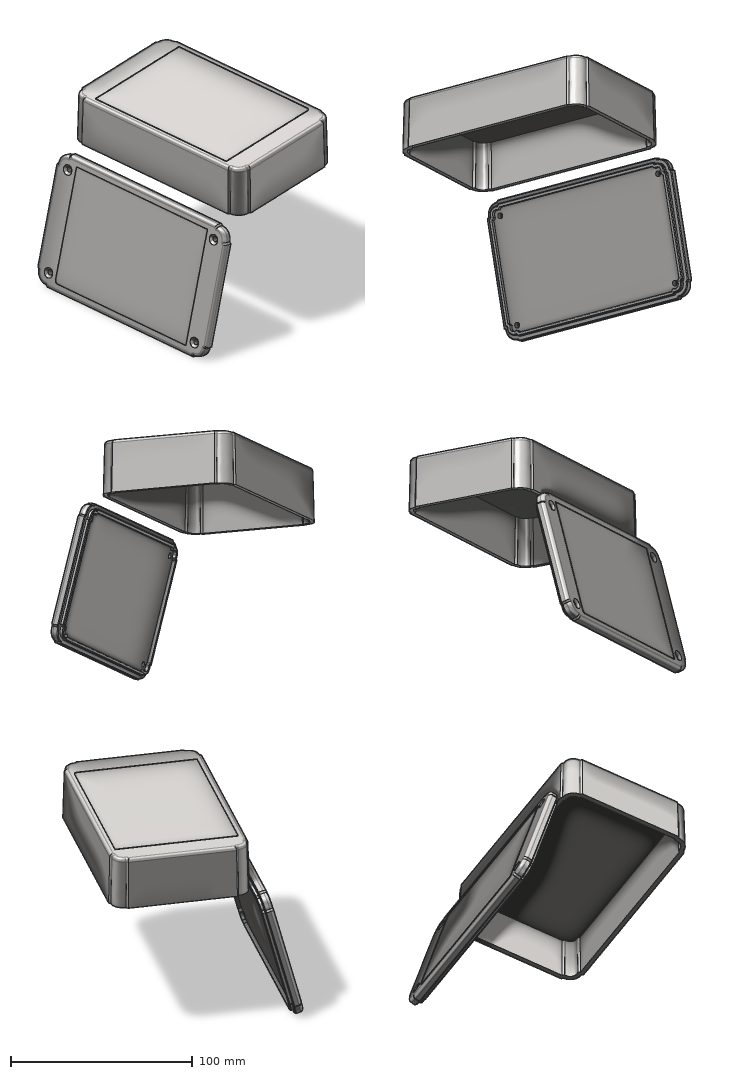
import cadquery as cq

LENGTH = 125.0
WIDTH = 80.0
CORNER_INSET = 1.0
CORNER_RADIUS = 7.0
EDGE_FILLET = 2.0

HOUSING_HEIGHT = 30.0
DRAFT_ANGLE = 1.5
WALL = 2.5

LID_THICKNESS = 5.0
LIP_HEIGHT = 2.0
LIP_THICKNESS = 2.0
LID_EDGE_BREAK = 0.5
SCREW_OFFSET = 9.0
SCREW_HOLE_DIAMETER = 3.0
SCREW_HEAD_DIAMETER = 6.0
COUNTERSINK_ANGLE = 90.0

LABEL_LENGTH = 96.0
LABEL_WIDTH = 70.0
LABEL_DEPTH = 0.4
LABEL_CORNER_RADIUS = 2.0

LID_SWING = -105.0
LID_CENTER_Y = -55.1
LID_CENTER_Z = -42.4


def plan_outline(z):
    """Rectangle whose rounded corners sit behind the walls, joined by 45 degree steps."""
    x_wall = LENGTH / 2
    y_wall = WIDTH / 2
    x_corner = x_wall - CORNER_INSET
    y_corner = y_wall - CORNER_INSET
    x_arc = x_corner - CORNER_RADIUS
    y_arc = y_corner - CORNER_RADIUS
    x_step = x_arc - CORNER_INSET
    y_step = y_arc - CORNER_INSET
    return (
        cq.Workplane("XY", origin=(0, 0, z))
        .moveTo(-x_step, -y_wall)
        .lineTo(x_step, -y_wall)
        .lineTo(x_arc, -y_corner)
        .radiusArc((x_corner, -y_arc), -CORNER_RADIUS)
        .lineTo(x_wall, -y_step)
        .lineTo(x_wall, y_step)
        .lineTo(x_corner, y_arc)
        .radiusArc((x_arc, y_corner), -CORNER_RADIUS)
        .lineTo(x_step, y_wall)
        .lineTo(-x_step, y_wall)
        .lineTo(-x_arc, y_corner)
        .radiusArc((-x_corner, y_arc), -CORNER_RADIUS)
        .lineTo(-x_wall, y_step)
        .lineTo(-x_wall, -y_step)
        .lineTo(-x_corner, -y_arc)
        .radiusArc((-x_arc, -y_corner), -CORNER_RADIUS)
        .close()
    )


def inner_outline(inset):
    """The plan at z = 0, shrunk evenly by inset."""
    return plan_outline(0).offset2D(-inset, "intersection")


def label_recess(z, rounded_corner):
    """Cutter rising from z, with one rounded corner chosen by an edge selector."""
    return (
        cq.Workplane("XY", origin=(0, 0, z))
        .rect(LABEL_LENGTH, LABEL_WIDTH)
        .extrude(LABEL_DEPTH)
        .edges("|Z")
        .edges(rounded_corner)
        .fillet(LABEL_CORNER_RADIUS)
    )


def make_housing():
    shell = plan_outline(0).extrude(HOUSING_HEIGHT, taper=DRAFT_ANGLE)
    shell = shell.faces(">Z").edges().fillet(EDGE_FILLET)
    cavity = inner_outline(WALL).extrude(HOUSING_HEIGHT - WALL, taper=DRAFT_ANGLE)
    recess = label_recess(HOUSING_HEIGHT - LABEL_DEPTH, ">(1, 1, 0)")
    return shell.cut(cavity).cut(recess)


def make_lid():
    """Lid with its mating face at z = 0, its rim lip above and its outer face below, then swung open."""
    plate = plan_outline(-LID_THICKNESS).extrude(LID_THICKNESS)
    plate = plate.faces("<Z").edges().fillet(EDGE_FILLET)
    plate = plate.faces(">Z").edges().chamfer(LID_EDGE_BREAK)
    lip = inner_outline(WALL).extrude(LIP_HEIGHT).faces(">Z").edges().chamfer(LID_EDGE_BREAK)
    lip = lip.cut(inner_outline(WALL + LIP_THICKNESS).extrude(LIP_HEIGHT))
    lid = plate.union(lip).cut(label_recess(-LID_THICKNESS, ">(-1, 1, 0)"))
    lid = (
        lid.copyWorkplane(cq.Workplane("XY", origin=(0, 0, -LID_THICKNESS)))
        .transformed(rotate=(180, 0, 0))
        .rect(LENGTH - 2 * SCREW_OFFSET, WIDTH - 2 * SCREW_OFFSET, forConstruction=True)
        .vertices()
        .cskHole(SCREW_HOLE_DIAMETER, SCREW_HEAD_DIAMETER, COUNTERSINK_ANGLE)
    )
    return lid.rotate((0, 0, 0), (1, 0, 0), LID_SWING).translate((0, LID_CENTER_Y, LID_CENTER_Z))


housing = make_housing()
lid = make_lid()
result = cq.Compound.makeCompound([housing.solids().val(), lid.solids().val()])